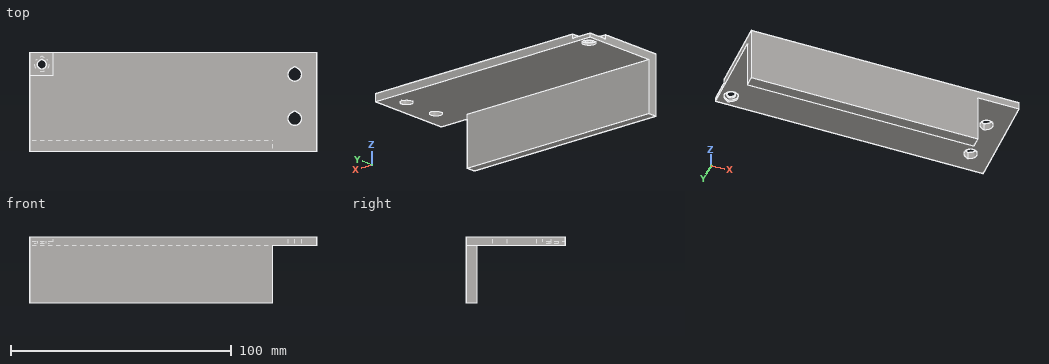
import cadquery as cq
import math

plate_length = 130.0
plate_width = 45.0
plate_thickness = 4.0

overall_height = 30.0
web_thickness = 5.0
plate_overhang = 20.0
web_length = plate_length - plate_overhang
plate_bottom = overall_height - plate_thickness

mounting_hole_diameter = 6.0
mounting_hole_x = plate_length - plate_overhang / 2
mounting_hole_ys = (15.0, 35.0)

teardrop_tangent_angle = math.radians(60.0)

recess_size = 10.5
recess_depth = 2.0

recess_hole_diameter = 4.0
recess_hole_inset = 5.5
counterbore_depth = 1.0
counterbore_diameter = 6.5


def corner_box(length, width, height, x=0.0, y=0.0, z=0.0):
    """Box whose lowest corner sits at (x, y, z)."""
    return cq.Workplane("XY").box(length, width, height, centered=False).translate((x, y, z))


def angle_body():
    plate = corner_box(plate_length, plate_width, plate_thickness, z=plate_bottom)
    web = corner_box(web_length, web_thickness, overall_height)
    return plate.union(web)


def teardrop_cutter(diameter, x, y, depth):
    """Cutter rising from the plate's underside, with tangent flanks meeting at a tip on its +Y side."""
    radius = diameter / 2
    tangent_x = radius * math.cos(teardrop_tangent_angle)
    tangent_y = radius * math.sin(teardrop_tangent_angle)
    tip_y = radius / math.sin(teardrop_tangent_angle)
    return (
        cq.Workplane("XY", origin=(x, y, plate_bottom))
        .moveTo(tangent_x, tangent_y)
        .lineTo(0, tip_y)
        .lineTo(-tangent_x, tangent_y)
        .threePointArc((0, -radius), (tangent_x, tangent_y))
        .close()
        .extrude(depth)
    )


def corner_recess():
    return corner_box(
        recess_size,
        recess_size,
        recess_depth,
        y=plate_width - recess_size,
        z=overall_height - recess_depth,
    )


def recess_hole():
    x = recess_hole_inset
    y = plate_width - recess_hole_inset
    bore = teardrop_cutter(recess_hole_diameter, x, y, plate_thickness)
    counterbore = teardrop_cutter(counterbore_diameter, x, y, counterbore_depth)
    return bore.union(counterbore)


def mounting_hole(y):
    return teardrop_cutter(mounting_hole_diameter, mounting_hole_x, y, plate_thickness)


result = angle_body().cut(corner_recess()).cut(recess_hole())
for hole_y in mounting_hole_ys:
    result = result.cut(mounting_hole(hole_y))